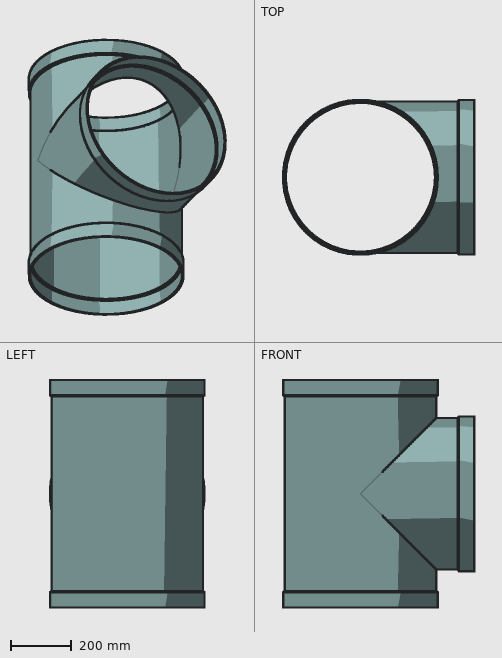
import cadquery as cq

pipe_diameter = 500.0
wall = 5.0
run_length = 750.0
branch_reach = 375.0
socket_depth = 50.0
taper_length = 5.0

pipe_outer_radius = pipe_diameter / 2
pipe_inner_radius = pipe_outer_radius - wall
half_run = run_length / 2


def socket_outline(start, pipe_radius, length):
    """Extend a half-profile up the pipe, out through the taper and along the socket to the axis."""
    socket_radius = pipe_radius + wall
    socket_start = length - socket_depth
    return (
        start
        .lineTo(pipe_radius, socket_start - taper_length)
        .lineTo(socket_radius, socket_start)
        .lineTo(socket_radius, length)
        .lineTo(0, length)
    )


def revolve_about_z(half_profile):
    """Close a half-profile along the Z axis and revolve it once around."""
    return half_profile.close().revolve(360, (0, 0, 0), (0, 1, 0))


def run(pipe_radius):
    """Solid straight run along Z with a socket at both ends."""
    socket_radius = pipe_radius + wall
    lower_socket_top = socket_depth - half_run
    lower_end = (
        cq.Workplane("XZ")
        .moveTo(0, -half_run)
        .lineTo(socket_radius, -half_run)
        .lineTo(socket_radius, lower_socket_top)
        .lineTo(pipe_radius, lower_socket_top + taper_length)
    )
    return revolve_about_z(socket_outline(lower_end, pipe_radius, half_run))


def branch(pipe_radius):
    """Solid branch from the run axis along +X with a socket at its open end."""
    base = cq.Workplane("XZ").lineTo(pipe_radius, 0)
    upright = revolve_about_z(socket_outline(base, pipe_radius, branch_reach))
    return upright.rotate((0, 0, 0), (0, 1, 0), 90)


def tee(pipe_radius):
    """Solid tee; equal radii make run and branch meet along 45 degree mitre lines."""
    return run(pipe_radius).union(branch(pipe_radius))


result = tee(pipe_outer_radius).cut(tee(pipe_inner_radius))